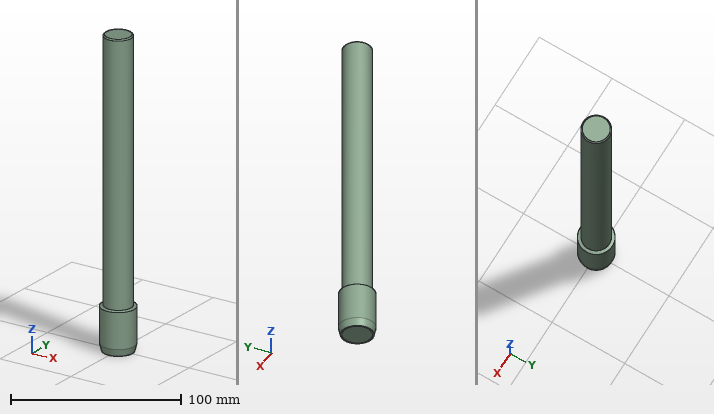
import cadquery as cq

total_length = 200.0
rod_diameter = 18.0
rod_chamfer = 0.8
sleeve_diameter = 22.2
sleeve_length = 28.8
sleeve_top_slope_drop = 0.5
sleeve_tip_diameter = 19.8
taper_length = 4.8

rod_radius = rod_diameter / 2
sleeve_radius = sleeve_diameter / 2
sleeve_tip_radius = sleeve_tip_diameter / 2


def make_rod():
    """Full-length round rod with a chamfered upper end."""
    rod = cq.Workplane("XY").circle(rod_radius).extrude(total_length)
    return rod.faces(">Z").edges().chamfer(rod_chamfer)


def make_sleeve():
    """Sleeve around the lower end of the rod, tapered below and with a shallow conical top."""
    wall_section = (
        cq.Workplane("XZ")
        .moveTo(rod_radius, 0)
        .lineTo(sleeve_tip_radius, 0)
        .lineTo(sleeve_radius, taper_length)
        .lineTo(sleeve_radius, sleeve_length - sleeve_top_slope_drop)
        .lineTo(rod_radius, sleeve_length)
        .close()
    )
    return wall_section.revolve(360, (0, 0, 0), (0, 1, 0))


rod = make_rod()
sleeve = make_sleeve()

result = cq.Compound.makeCompound([rod.val(), sleeve.val()])